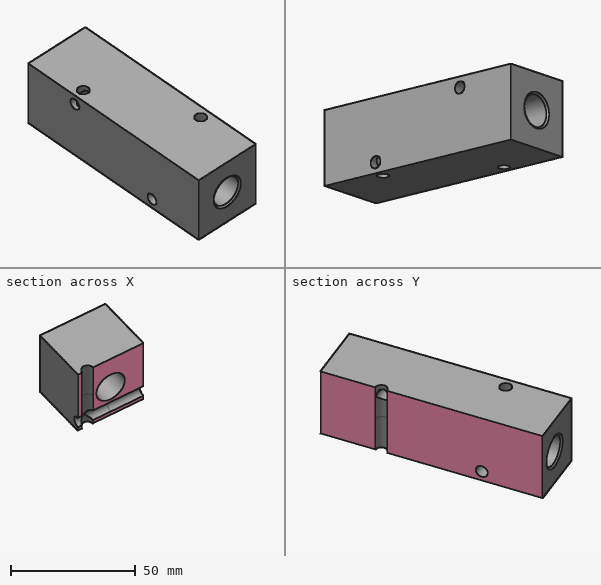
import cadquery as cq

length = 98.4
side = 31.8

bore_diameter = 13.6
mouth_diameter = 15.2
mouth_chamfer = (mouth_diameter - bore_diameter) / 2

hole_diameter = 5.1
hole_offset_x = 22.2
hole_offset_side = 11.2

block = cq.Workplane("XY").box(length, side, side)

bored = block.faces("<X").workplane().hole(bore_diameter)
bored = bored.faces("<X or >X").edges("%CIRCLE").chamfer(mouth_chamfer)


def hole_pair(plane, direction):
    """Two through holes, placed symmetrically about the block centre.

    direction is the side (+1 or -1) of the hole at positive X.
    """
    centre = (hole_offset_x, direction * hole_offset_side)
    opposite = (-centre[0], -centre[1])
    return (
        cq.Workplane(plane)
        .pushPoints([centre, opposite])
        .circle(hole_diameter / 2)
        .extrude(side, both=True)
    )


result = bored.cut(hole_pair("XZ", -1)).cut(hole_pair("XY", 1))